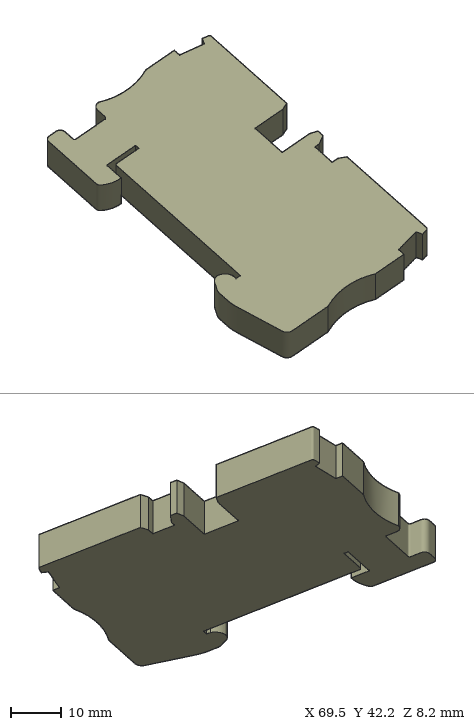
import cadquery as cq

length = 69.5
height = 42.2
thickness = 8.2
right = length / 2
left = -right

top_inset = 1.8
lip_inset = 1.4
lip_y = 40.45
notch_inset = 2.7
notch_top_y = 39.9
notch_foot_inset = 1.6
shoulder_y = 34.25
waist_top_y = 26.7
waist_bottom_y = 14.1
waist_depth = 1.4
waist_mid_y = (waist_top_y + waist_bottom_y) / 2

slot_left = -9.1
slot_right = -0.9
slot_floor_y = 33.2
lead_in = 0.6
lead_in_y = 40.6
tongue_right = 1.25
tongue_shoulder_y = 40.2
pocket_left = 2.35
pocket_right = 7.6
pocket_floor_y = 39.05
pocket_lead_in = 0.9

body_bottom_y = 12.65
neck_left = -30.65
foot_top_y = 4.1
slit_left = -21.55
slit_right = -20.6
slit_top_y = 12.4
toe_x = -17.2
toe_y = 4.7
toe_bottom_x = -18.9
toe_mid = (-17.7, 1.9)

rail_y = 6.1
rail_right = 17.3
hook_top_y = 5.0
hook_top_x = 16.3
hook_nose = (14.3, 2.85)
hook_upper = (15.15, 4.3)
hook_lower = (14.5, 1.75)
hook_heel = (15.2, 1.1)
hook_bottom_left = 17.45
hook_bottom_right = 21.6
ramp_end_y = 3.35

top_corner_radius = 0.5
body_corner_radius = 1.4
foot_upper_radius = 1.25
foot_lower_radius = 1.0
inner_radius = 0.4
ramp_corner_radius = 1.75
ramp_foot_radius = 9.7
heel_radius = 2.0
toe_radius = 1.0


def end_points(side):
    """Latch notch on one end, from the top edge down to the waist."""
    insets = [
        (top_inset, height),
        (lip_inset, lip_y),
        (notch_inset, notch_top_y),
        (notch_foot_inset, shoulder_y),
        (0, shoulder_y),
        (0, waist_top_y),
    ]
    return [(side * (right - inset), y) for inset, y in insets]


def polyline_to(outline, points):
    for point in points:
        outline = outline.lineTo(*point)
    return outline


def make_body():
    """Extruded outline, traced clockwise from the top left corner."""
    top_edge = [
        (slot_left - lead_in, height),
        (slot_left, lead_in_y),
        (slot_left, slot_floor_y),
        (slot_right, slot_floor_y),
        (slot_right, lead_in_y),
        (slot_right + lead_in, height),
        (tongue_right, height),
        (pocket_left, tongue_shoulder_y),
        (pocket_left, pocket_floor_y),
        (pocket_right, pocket_floor_y),
        (pocket_right, lead_in_y),
        (pocket_right + pocket_lead_in, height),
    ]
    left_end = end_points(-1)
    outline = cq.Workplane("XY").moveTo(*left_end[0])
    outline = polyline_to(outline, top_edge + end_points(1))
    outline = outline.threePointArc((right - waist_depth, waist_mid_y), (right, waist_bottom_y))

    outline = polyline_to(outline, [
        (right, ramp_end_y),
        (hook_bottom_right, 0),
        (hook_bottom_left, 0),
        hook_heel,
    ])
    outline = outline.threePointArc(hook_lower, hook_nose)
    outline = outline.threePointArc(hook_upper, (hook_top_x, hook_top_y))

    outline = polyline_to(outline, [
        (rail_right, hook_top_y),
        (rail_right, rail_y),
        (slit_right, rail_y),
        (slit_right, slit_top_y),
        (slit_left, slit_top_y),
        (slit_left, toe_y),
        (toe_x, toe_y),
    ])
    outline = outline.threePointArc(toe_mid, (toe_bottom_x, 0))
    outline = polyline_to(outline, [
        (left, 0),
        (left, foot_top_y),
        (neck_left, foot_top_y),
        (neck_left, body_bottom_y),
        (left, body_bottom_y),
        (left, waist_bottom_y),
    ])
    outline = outline.threePointArc((left + waist_depth, waist_mid_y), (left, waist_top_y))
    outline = polyline_to(outline, left_end[-2:0:-1])
    return outline.close().extrude(thickness)


def round_corner(body, x, y, radius):
    """Round the vertical edge that stands at the given outline corner."""
    edge = cq.selectors.NearestToPointSelector((x, y, thickness / 2))
    return body.edges("|Z").edges(edge).fillet(radius)


result = make_body()
for corner_x, corner_y, corner_radius in [
    (left + top_inset, height, top_corner_radius),
    (right - top_inset, height, top_corner_radius),
    (left, body_bottom_y, body_corner_radius),
    (left, foot_top_y, foot_upper_radius),
    (left, 0, foot_lower_radius),
    (neck_left, foot_top_y, inner_radius),
    (neck_left, body_bottom_y, inner_radius),
    (slit_right, rail_y, inner_radius),
    (right, ramp_end_y, ramp_corner_radius),
    (hook_bottom_right, 0, ramp_foot_radius),
    (hook_bottom_left, 0, heel_radius),
    (toe_bottom_x, 0, toe_radius),
]:
    result = round_corner(result, corner_x, corner_y, corner_radius)